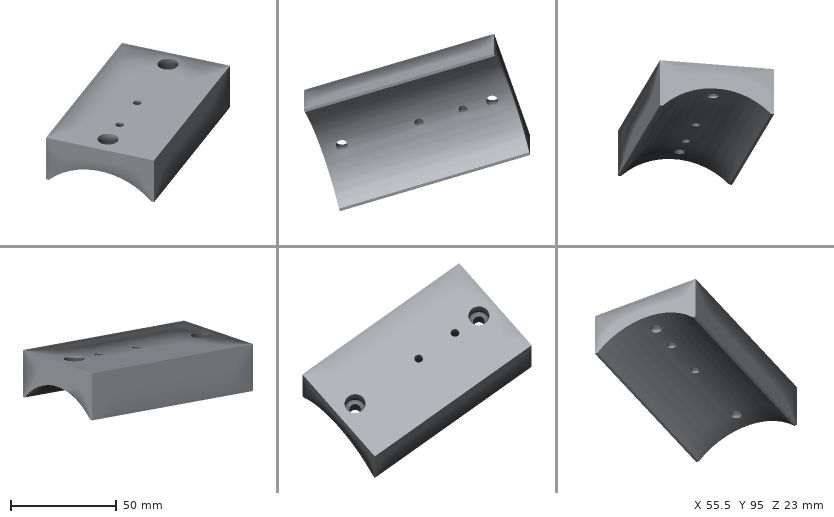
import cadquery as cq

WIDTH = 55.5
LENGTH = 95.0
HEIGHT = 23.0

SADDLE_RADIUS = 37.5
SADDLE_DEPTH = 10.8

MOUNT_SPACING = 75.0
MOUNT_DIAMETER = 5.5
COUNTERBORE_DIAMETER = 10.0
COUNTERBORE_DEPTH = 6.0

SMALL_HOLE_DIAMETER = 4.13
SMALL_HOLE_SPACING = 22.0
SMALL_HOLE_MIDPOINT_Y = -12.0


def make_block():
    """Block centred on X and Y, standing on Z = 0."""
    return cq.Workplane("XY").box(WIDTH, LENGTH, HEIGHT, centered=(True, True, False))


def cut_saddle(body):
    """Cut the cylindrical saddle through the full length of the underside."""
    axis_z = SADDLE_DEPTH - SADDLE_RADIUS
    tube = (
        cq.Workplane("XZ")
        .center(0, axis_z)
        .circle(SADDLE_RADIUS)
        .extrude(LENGTH / 2, both=True)
    )
    return body.cut(tube)


def pair_along_y(spacing, midpoint_y=0.0):
    """Two points on the lengthwise centre line, evenly placed about midpoint_y."""
    return [(0, midpoint_y + side * spacing / 2) for side in (-1, 1)]


def cut_mounting_holes(body):
    """Through holes counterbored from the top face."""
    return (
        body.faces(">Z")
        .workplane(origin=(0, 0, HEIGHT))
        .pushPoints(pair_along_y(MOUNT_SPACING))
        .cboreHole(MOUNT_DIAMETER, COUNTERBORE_DIAMETER, COUNTERBORE_DEPTH)
    )


def cut_small_holes(body):
    """Plain holes from the top face through to the saddle."""
    return (
        body.faces(">Z")
        .workplane(origin=(0, 0, HEIGHT))
        .pushPoints(pair_along_y(SMALL_HOLE_SPACING, SMALL_HOLE_MIDPOINT_Y))
        .hole(SMALL_HOLE_DIAMETER)
    )


body = make_block()
body = cut_saddle(body)
body = cut_mounting_holes(body)
result = cut_small_holes(body)